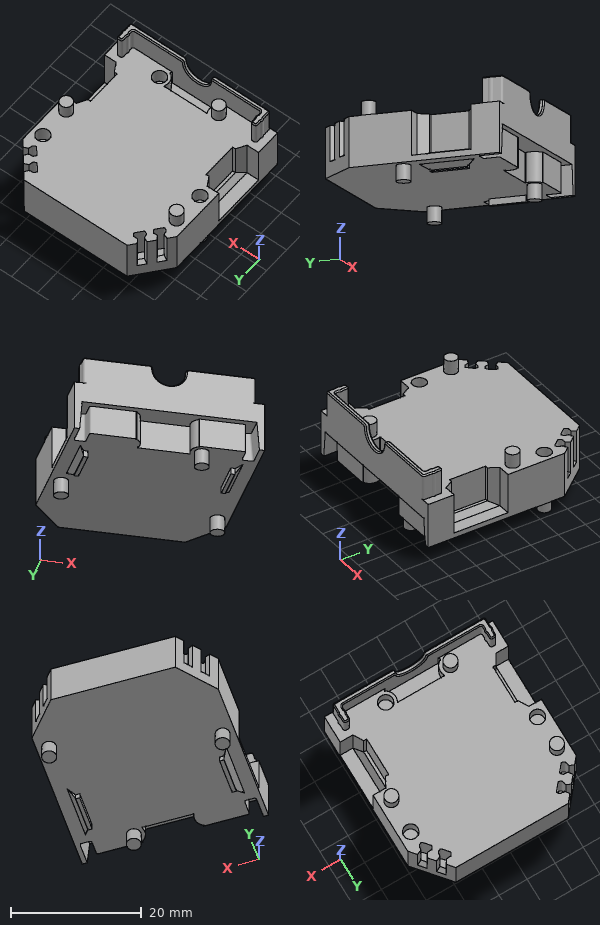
import cadquery as cq
import math

width = 30.0
depth = 31.0
body_height = 8.1
half_width = width / 2
corner_x = 5.0
corner_y = 6.0

pin_radius = 1.15
pin_length = 2.5
socket_radius = 1.25
socket_depth = 2.8
side_pin_x = 13.02
rear_pin_y = 22.55
middle_pin_y = 16.75
front_pin_x = 5.77
front_pin_y = 2.85
top_pins = [
    (-side_pin_x, rear_pin_y),
    (side_pin_x, middle_pin_y),
    (-front_pin_x, front_pin_y),
]
sockets = [(-x, y) for x, y in top_pins]

wall_height = 4.5
wall_thickness = 0.9
wall_half_width = 13.58
hook_width = 1.1
hook_reach = 3.55
wall_corner_radius = 0.37
wall_chamfer = 0.22
hook_center_x = wall_half_width - hook_width / 2
bump_radius = 0.65
bump_root_radius = 0.12
bump_y = 2.05
cable_radius = 2.6
cable_lip_radius = 0.5

recess_height = 4.77
recess_top_half_width = 13.75
recess_bottom_half_width = 14.17
recess_clearance = 0.2
recess_corner_radius = 0.3
recess_inner_half_width = wall_half_width - hook_width - recess_clearance
recess_reach = hook_reach + recess_clearance
slot_depth = wall_thickness + recess_clearance

latch_half_width = 4.12
latch_back_y = 3.78
latch_curve_radius = 1.8
latch_curve_end_x = 5.0
latch_mouth_half_width = 4.75
latch_depth = 2.8

grip_y = 9.67
pocket_half_length = 4.93
pocket_end_half_length = 3.3
pocket_taper_x = 12.75
pocket_step_x = 11.78
pocket_end_x = 11.25
pocket_floor = 0.95
plug_half_length = 4.55
plug_end_half_length = 3.1
plug_drop = 1.05
plug_outer_x = 12.8
plug_step_x = 11.95

notch_pitch = 3.1
notch_mouth_width = 1.55
notch_neck_width = 1.05
notch_neck_depth = 0.85
notch_bulge_width = 2.05
notch_bulge_depth = 1.5
notch_end_width = 1.75
notch_end_depth = 2.08
notch_corner_radius = 0.28
notch_height = 5.35
notch_mouth_height = 5.75


def mirrored(shape):
    """Return a left-hand shape joined with its right-hand copy."""
    return shape.union(shape.mirror("YZ"))


def make_body():
    """Block with both rear corners cut off."""
    outline = [
        (-half_width, 0),
        (half_width, 0),
        (half_width, depth - corner_y),
        (half_width - corner_x, depth),
        (corner_x - half_width, depth),
        (-half_width, depth - corner_y),
    ]
    return cq.Workplane("XY").polyline(outline).close().extrude(body_height)


def cylinders(points, radius, bottom, height):
    """Upright cylinders of one size at each of the points."""
    return cq.Workplane("XY").workplane(offset=bottom).pushPoints(points).circle(radius).extrude(height)


def make_cable_cutter():
    """U-shaped saddle with rounded lips, cut through the wall along Y."""
    top = body_height + wall_height
    lip_z = top - cable_lip_radius
    lip_x = cable_radius + cable_lip_radius
    lip_mid = cable_lip_radius * (1 - math.sqrt(0.5))
    return (
        cq.Workplane("XZ")
        .moveTo(-lip_x, top)
        .threePointArc((-cable_radius - lip_mid, top - lip_mid), (-cable_radius, lip_z))
        .threePointArc((0, lip_z - cable_radius), (cable_radius, lip_z))
        .threePointArc((cable_radius + lip_mid, top - lip_mid), (lip_x, top))
        .close()
        .extrude(-wall_thickness)
    )


def make_wall():
    """Front wall with end hooks, snap bumps, cable saddle and chamfered rim."""
    hook_inner_x = wall_half_width - hook_width
    wall = (
        cq.Workplane("XY")
        .workplane(offset=body_height)
        .polyline([
            (-wall_half_width, 0),
            (wall_half_width, 0),
            (wall_half_width, hook_reach),
            (hook_inner_x, hook_reach),
            (hook_inner_x, wall_thickness),
            (-hook_inner_x, wall_thickness),
            (-hook_inner_x, hook_reach),
            (-wall_half_width, hook_reach),
        ])
        .close()
        .extrude(wall_height)
        .edges("|Z")
        .fillet(wall_corner_radius)
    )
    bump_points = [(-hook_center_x, bump_y), (hook_center_x, bump_y)]
    wall = wall.union(cylinders(bump_points, bump_radius, body_height, wall_height))
    bump_zone = cq.selectors.BoxSelector(
        (-half_width, bump_y - bump_radius, body_height),
        (half_width, bump_y + bump_radius, body_height + wall_height),
    )
    wall = wall.edges(bump_zone).edges("|Z").fillet(bump_root_radius)
    wall = wall.cut(make_cable_cutter())
    return wall.faces(">Z").edges("<Y").chamfer(wall_chamfer)


def make_recess():
    """Slot and two hook channels, open at the front and the underside."""
    recess = (
        cq.Workplane("XZ")
        .polyline([
            (-recess_bottom_half_width, 0),
            (recess_bottom_half_width, 0),
            (recess_top_half_width, recess_height),
            (-recess_top_half_width, recess_height),
        ])
        .close()
        .extrude(-recess_reach)
    )
    core = (
        cq.Workplane("XY")
        .rect(2 * recess_inner_half_width, 2 * (recess_reach - slot_depth))
        .extrude(recess_height)
        .edges("|Z")
        .edges("<Y")
        .fillet(recess_corner_radius)
        .translate((0, recess_reach, 0))
    )
    return recess.cut(core).faces(">Y").edges("not(|X)").fillet(recess_corner_radius)


def latch_cutter(bottom, height):
    """Latch pocket whose sides curve concentrically round the front pins."""
    side_drop = math.sqrt(latch_curve_radius**2 - (front_pin_x - latch_half_width) ** 2)
    end_drop = math.sqrt(latch_curve_radius**2 - (front_pin_x - latch_curve_end_x) ** 2)
    curve_top_y = front_pin_y + side_drop
    curve_end_y = front_pin_y - end_drop
    curve_mid_x = front_pin_x - latch_curve_radius
    return (
        cq.Workplane("XY")
        .workplane(offset=bottom)
        .moveTo(-latch_half_width, latch_back_y)
        .lineTo(latch_half_width, latch_back_y)
        .lineTo(latch_half_width, curve_top_y)
        .threePointArc((curve_mid_x, front_pin_y), (latch_curve_end_x, curve_end_y))
        .lineTo(latch_mouth_half_width, wall_thickness)
        .lineTo(-latch_mouth_half_width, wall_thickness)
        .lineTo(-latch_curve_end_x, curve_end_y)
        .threePointArc((-curve_mid_x, front_pin_y), (-latch_half_width, curve_top_y))
        .close()
        .extrude(height)
    )


def plan_and_profile(plan, profile, bottom, top):
    """Solid with the given XY plan, trimmed by the given XZ profile."""
    prism = cq.Workplane("XY").workplane(offset=bottom).polyline(plan).close().extrude(top - bottom)
    trim = cq.Workplane("XZ").polyline(profile).close().extrude(-depth)
    return prism.intersect(trim)


def make_side_pocket():
    """Left grip pocket, open to the side and the top, with tapered walls and a stepped back."""
    long_front = grip_y - pocket_half_length
    long_rear = grip_y + pocket_half_length
    short_front = grip_y - pocket_end_half_length
    short_rear = grip_y + pocket_end_half_length
    step_floor = pocket_floor + pocket_taper_x - pocket_step_x
    plan = [
        (-half_width, long_front),
        (-pocket_taper_x, long_front),
        (-pocket_step_x, short_front),
        (-pocket_end_x, short_front),
        (-pocket_end_x, short_rear),
        (-pocket_step_x, short_rear),
        (-pocket_taper_x, long_rear),
        (-half_width, long_rear),
    ]
    profile = [
        (-half_width, pocket_floor),
        (-pocket_taper_x, pocket_floor),
        (-pocket_step_x, step_floor),
        (-pocket_end_x, step_floor),
        (-pocket_end_x, body_height),
        (-half_width, body_height),
    ]
    return plan_and_profile(plan, profile, pocket_floor, body_height)


def make_plug():
    """Left plug under the body, shaped to drop into the pocket of the part below."""
    step_z = plug_step_x - plug_outer_x
    plan = [
        (-plug_outer_x, grip_y - plug_half_length),
        (-plug_step_x, grip_y - plug_end_half_length),
        (-pocket_end_x, grip_y - plug_end_half_length),
        (-pocket_end_x, grip_y + plug_end_half_length),
        (-plug_step_x, grip_y + plug_end_half_length),
        (-plug_outer_x, grip_y + plug_half_length),
    ]
    profile = [
        (-plug_outer_x, 0),
        (-plug_step_x, step_z),
        (-plug_step_x, -plug_drop),
        (-pocket_end_x, -plug_drop),
        (-pocket_end_x, 0),
    ]
    return plan_and_profile(plan, profile, -plug_drop, 0)


def make_notch(offset):
    """Keyhole notch: built at the origin with y inwards, then moved to the rear corner cut."""
    mouth = (
        cq.Workplane("XY")
        .polyline([
            (-notch_mouth_width / 2, 0),
            (notch_mouth_width / 2, 0),
            (notch_neck_width / 2, notch_neck_depth),
            (-notch_neck_width / 2, notch_neck_depth),
        ])
        .close()
        .extrude(-notch_mouth_height)
    )
    sloped_floor_trim = (
        cq.Workplane("YZ")
        .polyline([
            (0, 0),
            (notch_neck_depth, 0),
            (notch_neck_depth, -notch_height),
            (0, -notch_mouth_height),
        ])
        .close()
        .extrude(notch_mouth_width / 2, both=True)
    )
    bulge = (
        cq.Workplane("XY")
        .polyline([
            (-notch_neck_width / 2, notch_neck_depth),
            (notch_neck_width / 2, notch_neck_depth),
            (notch_bulge_width / 2, notch_bulge_depth),
            (notch_end_width / 2, notch_end_depth),
            (-notch_end_width / 2, notch_end_depth),
            (-notch_bulge_width / 2, notch_bulge_depth),
        ])
        .close()
        .extrude(-notch_height)
        .edges("|Z and (<X or >X or >Y)")
        .fillet(notch_corner_radius)
    )
    notch = mouth.intersect(sloped_floor_trim).union(bulge)
    corner_angle = math.degrees(math.atan2(-corner_y, -corner_x))
    corner_middle = (corner_x / 2 - half_width, depth - corner_y / 2, body_height)
    return notch.translate((offset, 0, 0)).rotate((0, 0, 0), (0, 0, 1), corner_angle).translate(corner_middle)


body = make_body()
body = body.cut(make_recess())
body = body.cut(latch_cutter(0, recess_height))
body = body.cut(latch_cutter(body_height - latch_depth, latch_depth))
body = body.cut(cylinders(sockets, socket_radius, body_height - socket_depth, socket_depth))
body = body.cut(mirrored(make_side_pocket()))
for notch_offset in (-notch_pitch / 2, notch_pitch / 2):
    body = body.cut(mirrored(make_notch(notch_offset)))

body = body.union(make_wall())
body = body.union(mirrored(make_plug()))
body = body.union(cylinders(top_pins, pin_radius, body_height, pin_length))
result = body.union(cylinders(sockets, pin_radius, -pin_length, pin_length))